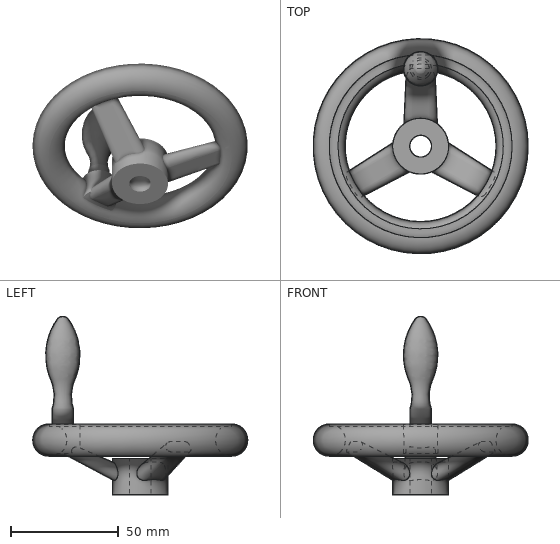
import cadquery as cq
import math

WHEEL_RADIUS = 50.0
RIM_SECTION_RADIUS = 7.5
RIM_BOTTOM = 18.0
RIM_STEP_INNER_RADIUS = 38.4

HUB_RADIUS = 13.0
HUB_HEIGHT = 17.0
BORE_RADIUS = 5.0

SPOKE_COUNT = 3
SPOKE_FLAT_WIDTH = 8.0
SPOKE_AXIS_HEIGHT = 5.1
SPOKE_START_RADIUS = 8.0
SPOKE_START_THICKNESS = 7.9
SPOKE_END_THICKNESS = 4.8

HANDLE_OFFSET = 36.0
BOSS_RADIUS = 8.0
BOSS_BOTTOM = 19.4
BOSS_TOP = 32.8
STEM_RADIUS = 5.0
STEM_TOP = 40.0
NECK_RADIUS = 4.0
NECK_HEIGHT = 46.0
BULB_RADIUS = 8.0
BULB_HEIGHT = 65.0
TIP_RADIUS = 2.4
HANDLE_TOP = 83.0

RIM_CENTRE_RADIUS = WHEEL_RADIUS - RIM_SECTION_RADIUS
RIM_MID_HEIGHT = RIM_BOTTOM + RIM_SECTION_RADIUS
RIM_TOP = RIM_BOTTOM + 2 * RIM_SECTION_RADIUS
RIM_STEP_WIDTH = RIM_CENTRE_RADIUS - RIM_STEP_INNER_RADIUS
RIM_STEP_HEIGHT = RIM_MID_HEIGHT + math.sqrt(RIM_SECTION_RADIUS**2 - RIM_STEP_WIDTH**2)


def make_rim():
    """Round rim whose crown is lowered to a flat on its inner half."""
    section = (
        cq.Workplane("XZ")
        .moveTo(RIM_CENTRE_RADIUS, RIM_STEP_HEIGHT)
        .lineTo(RIM_CENTRE_RADIUS, RIM_TOP)
        .threePointArc((WHEEL_RADIUS, RIM_MID_HEIGHT), (RIM_CENTRE_RADIUS, RIM_BOTTOM))
        .threePointArc(
            (RIM_CENTRE_RADIUS - RIM_SECTION_RADIUS, RIM_MID_HEIGHT),
            (RIM_STEP_INNER_RADIUS, RIM_STEP_HEIGHT),
        )
        .close()
    )
    return section.revolve(360, (0, 0, 0), (0, 1, 0))


def make_hub():
    return cq.Workplane("XY").circle(HUB_RADIUS).extrude(HUB_HEIGHT)


def make_spoke():
    """Tapered spoke toward +Y: round-edged section rising from the hub to the rim centre line."""
    rise_per_run = (RIM_MID_HEIGHT - SPOKE_AXIS_HEIGHT) / RIM_CENTRE_RADIUS
    run = RIM_CENTRE_RADIUS - SPOKE_START_RADIUS
    start_height = SPOKE_AXIS_HEIGHT + SPOKE_START_RADIUS * rise_per_run
    length = math.hypot(run, run * rise_per_run)
    start_plane = cq.Plane(
        origin=(0, SPOKE_START_RADIUS, start_height),
        xDir=(1, 0, 0),
        normal=(0, 1, rise_per_run),
    )
    return (
        cq.Workplane(start_plane)
        .slot2D(SPOKE_FLAT_WIDTH + SPOKE_START_THICKNESS, SPOKE_START_THICKNESS)
        .workplane(offset=length)
        .slot2D(SPOKE_FLAT_WIDTH + SPOKE_END_THICKNESS, SPOKE_END_THICKNESS)
        .loft(ruled=True)
    )


def make_boss():
    """Round seat for the handle, merging with the rim and the end of the +Y spoke."""
    return (
        cq.Workplane("XY", origin=(0, HANDLE_OFFSET, BOSS_BOTTOM))
        .circle(BOSS_RADIUS)
        .extrude(BOSS_TOP - BOSS_BOTTOM)
    )


def make_handle():
    """Turned handle: straight stem, concave neck, tangent bulb and a small domed tip."""
    stem_step = STEM_RADIUS - NECK_RADIUS
    neck_drop = NECK_HEIGHT - STEM_TOP
    neck_arc_radius = (neck_drop**2 + stem_step**2) / (2 * stem_step)

    bulb_step = BULB_RADIUS - NECK_RADIUS
    bulb_rise = BULB_HEIGHT - NECK_HEIGHT
    arc_radius_sum = (bulb_rise**2 + bulb_step**2) / (2 * bulb_step)
    bulb_arc_radius = arc_radius_sum - neck_arc_radius
    neck_share = neck_arc_radius / arc_radius_sum
    tangent_point = (NECK_RADIUS + bulb_step * neck_share, NECK_HEIGHT + bulb_rise * neck_share)

    tip_inset = bulb_arc_radius - (BULB_RADIUS - TIP_RADIUS)
    tip_height = BULB_HEIGHT + math.sqrt(bulb_arc_radius**2 - tip_inset**2)
    dome_height = HANDLE_TOP - tip_height
    dome_radius = (TIP_RADIUS**2 + dome_height**2) / (2 * dome_height)
    dome_mid_radius = TIP_RADIUS / 2
    dome_mid_height = HANDLE_TOP - dome_radius + math.sqrt(dome_radius**2 - dome_mid_radius**2)

    profile = (
        cq.Workplane("XZ", origin=(0, HANDLE_OFFSET, 0))
        .moveTo(0, RIM_MID_HEIGHT)
        .lineTo(STEM_RADIUS, RIM_MID_HEIGHT)
        .lineTo(STEM_RADIUS, STEM_TOP)
        .threePointArc((NECK_RADIUS, NECK_HEIGHT), tangent_point)
        .threePointArc((BULB_RADIUS, BULB_HEIGHT), (TIP_RADIUS, tip_height))
        .threePointArc((dome_mid_radius, dome_mid_height), (0, HANDLE_TOP))
        .close()
    )
    return profile.revolve(360, (0, 0, 0), (0, 1, 0))


wheel = make_rim().union(make_hub())
for index in range(SPOKE_COUNT):
    spoke = make_spoke().rotate((0, 0, 0), (0, 0, 1), index * 360 / SPOKE_COUNT)
    wheel = wheel.union(spoke)

bore = cq.Workplane("XY").circle(BORE_RADIUS).extrude(HUB_HEIGHT)
result = wheel.union(make_boss()).union(make_handle()).cut(bore)